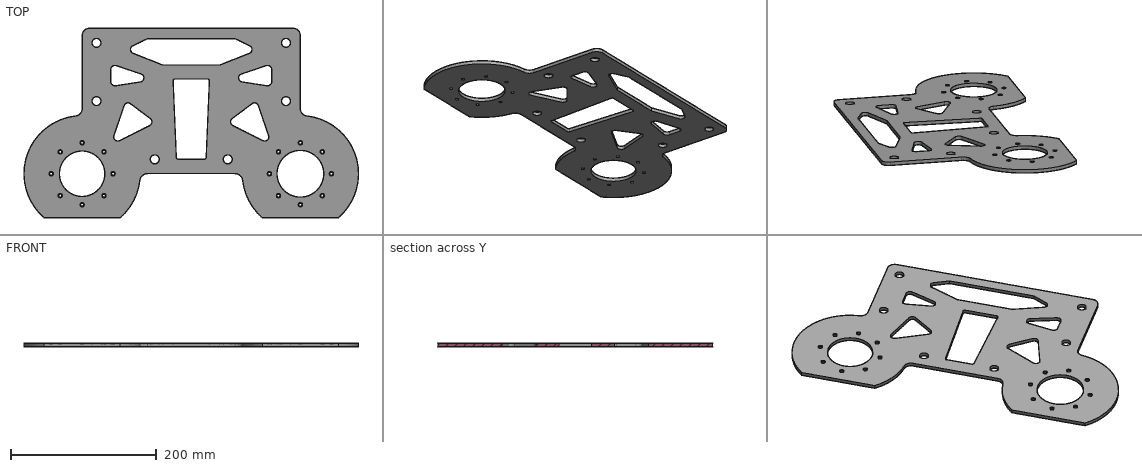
import cadquery as cq
import math

thickness = 5.0
arm_radius = 80.0
length = 460
arm_x = length / 2 - arm_radius
arm_flat_y = -60.5
body_top = 200.0
corner_radius = 10.0
joint_radius = 10.0

left_bore_diameter = 62.0
right_bore_diameter = 64.0
bolt_count = 8
bolt_circle_diameter = 85.0
bolt_diameter = 4.0
bolt_rim_diameter = 6.0
bolt_sink_depth = 1.0

mount_diameter = 12.0
mount_positions = [(130.0, 180.0), (130.0, 100.0), (50.0, 20.0)]

cutout_radius = 5.5
window_radius = 2.5
side_triangle = [(110.5, 151.0), (110.5, 120.0), (47.5, 129.5)]
lower_triangle = [(89.5, 100.7), (110.5, 39.5), (49.0, 70.5)]
slot_half = [(60.3, 185.5), (91.5, 170.0), (39.0, 149.5)]
window_half = [(25.0, 130.0), (20.2, 20.2)]


def mirrored(points):
    """Reflect points across the Y axis, reversing their order to continue an outline."""
    return [(-x, y) for x, y in reversed(points)]


def prism(points):
    """Closed polygon extruded through the plate."""
    return cq.Workplane("XY").polyline(points).close().extrude(thickness)


def cylinders(points, diameter):
    """Equal cylinders through the plate, one at each point."""
    return cq.Workplane("XY").pushPoints(points).circle(diameter / 2).extrude(thickness)


def make_plate():
    """Body with rounded top corners joined by concave fillets to two flattened arms."""
    body = (
        cq.Workplane("XY")
        .box(2 * arm_x, body_top, thickness, centered=(True, False, False))
        .edges("|Z and >Y")
        .fillet(corner_radius)
    )
    above_flat = (
        cq.Workplane("XY")
        .box(length, body_top - arm_flat_y, thickness, centered=(True, False, False))
        .translate((0, arm_flat_y, 0))
    )
    arms = cylinders([(-arm_x, 0), (arm_x, 0)], 2 * arm_radius).intersect(above_flat)
    plate = body.union(arms)

    joint_x = arm_x - arm_radius
    for side in (-1, 1):
        for joint in [(side * arm_x, arm_radius), (side * joint_x, 0)]:
            nearest = cq.selectors.NearestToPointSelector((*joint, thickness / 2))
            plate = plate.edges("|Z").edges(nearest).fillet(joint_radius)
    return plate


def cut_motor_mount(plate, center_x, bore_diameter):
    """Central bore surrounded by a circle of countersunk bolt holes."""
    sink_width = (bolt_rim_diameter - bolt_diameter) / 2
    sink_taper = math.degrees(math.atan2(sink_width, bolt_sink_depth))
    bolts = []
    for index in range(bolt_count):
        angle = 2 * math.pi * index / bolt_count
        bolt_x = center_x + bolt_circle_diameter / 2 * math.cos(angle)
        bolt_y = bolt_circle_diameter / 2 * math.sin(angle)
        bolts.append((bolt_x, bolt_y))
    plate = plate.cut(cylinders([(center_x, 0)], bore_diameter))
    plate = plate.cut(cylinders(bolts, bolt_diameter))
    countersinks = (
        cq.Workplane("XY", origin=(0, 0, thickness))
        .pushPoints(bolts)
        .circle(bolt_rim_diameter / 2)
        .extrude(-bolt_sink_depth, taper=sink_taper)
    )
    return plate.cut(countersinks)


def cut_mount_holes(plate):
    """Matching mounting holes in both halves."""
    return plate.cut(cylinders(mount_positions + mirrored(mount_positions), mount_diameter))


def cut_lightening_openings(plate):
    """Rounded triangles on both sides, plus the slot and the tapered window on the centreline."""
    for triangle in (side_triangle, lower_triangle):
        for points in (triangle, mirrored(triangle)):
            plate = plate.cut(prism(points).edges("|Z").fillet(cutout_radius))
    slot = prism(slot_half + mirrored(slot_half))
    slot = slot.edges("|Z").edges("<X or >X").fillet(cutout_radius)
    window = prism(window_half + mirrored(window_half)).edges("|Z").fillet(window_radius)
    return plate.cut(slot).cut(window)


result = make_plate()
result = cut_motor_mount(result, -arm_x, left_bore_diameter)
result = cut_motor_mount(result, arm_x, right_bore_diameter)
result = cut_mount_holes(result)
result = cut_lightening_openings(result)